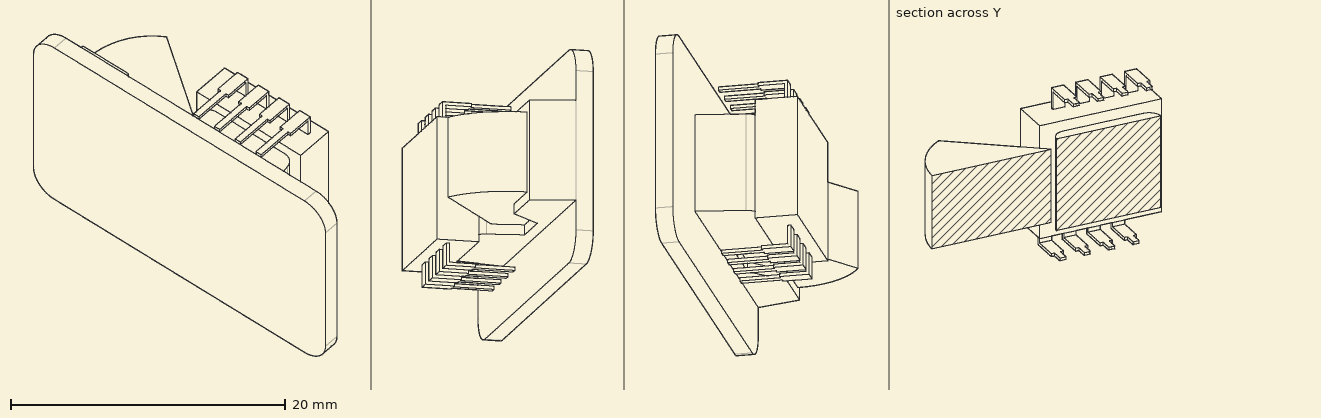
import cadquery as cq
import math


plate_length = 27.9
plate_height = 16.0
plate_thickness = 1.3
plate_corner_radius = 2.0

base_width = 7.5
base_left = -plate_length / 2
shoulder_top = 4.6
shoulder_left = -13.09
shoulder_right = -8.8
valley_floor = 2.23
valley_left = shoulder_right + (shoulder_top - valley_floor)

pedestal_left = -2.99
pedestal_right = 6.78
pedestal_middle = (pedestal_left + pedestal_right) / 2
pedestal_top = 5.8
pedestal_draft = math.radians(10)
pedestal_edge_radius = 1.0

prism_width = 6.0
prism_radius = 6.0
prism_back = -12.5
prism_peak = 9.8
slope_angle = math.radians(36)

package_length = 9.93
package_left = -3.26
package_height = 9.2
package_bottom = pedestal_top
package_top = 8.95
package_center = package_left + package_length / 2

leads_per_row = 4
lead_pitch = 1.98
first_lead = -0.73
lead_thickness = 0.25
lead_wide = 1.0
lead_narrow = 0.5
lead_span = 12.55
lead_top = 8.0
lead_tip = 2.75


def box(x_range, y_range, z_range):
    """Box between two limits on each axis."""
    sizes = [high - low for low, high in (x_range, y_range, z_range)]
    corner = (x_range[0], y_range[0], z_range[0])
    return cq.Workplane("XY").box(*sizes, centered=False).translate(corner)


def make_plate():
    """Cover plate with rounded corners."""
    half_length = plate_length / 2
    half_height = plate_height / 2
    plate = box((-half_length, half_length), (0, plate_thickness), (-half_height, half_height))
    return plate.edges("|Y").fillet(plate_corner_radius)


def make_shoulder():
    """Raised left part of the base, its ramp and the valley, running on into the pedestal."""
    outline = [
        (base_left, plate_thickness),
        (shoulder_left, shoulder_top),
        (shoulder_right, shoulder_top),
        (valley_left, valley_floor),
        (pedestal_middle, valley_floor),
        (pedestal_middle, plate_thickness),
    ]
    return cq.Workplane("XY").polyline(outline).close().extrude(base_width / 2, both=True)


def make_pedestal():
    """Tapered block with rounded top edges."""
    inset = (pedestal_top - plate_thickness) * math.tan(pedestal_draft)
    outline = [
        (pedestal_left, plate_thickness),
        (pedestal_left + inset, pedestal_top),
        (pedestal_right - inset, pedestal_top),
        (pedestal_right, plate_thickness),
    ]
    pedestal = cq.Workplane("XY").polyline(outline).close().extrude(base_width / 2, both=True)
    return pedestal.faces(">Y").edges("|Z").fillet(pedestal_edge_radius)


def make_prism():
    """Prism with a round back that leaves the shoulder upright and rises to a sharp peak."""
    arc_center = prism_back + prism_radius
    peak_angle = math.asin((prism_peak - shoulder_top) / prism_radius)
    peak_x = arc_center - prism_radius * math.cos(peak_angle)
    arc_middle = (
        arc_center - prism_radius * math.cos(peak_angle / 2),
        shoulder_top + prism_radius * math.sin(peak_angle / 2),
    )
    slope_end = peak_x + (prism_peak - shoulder_top) / math.tan(slope_angle)
    return (
        cq.Workplane("XY")
        .moveTo(prism_back, plate_thickness)
        .lineTo(prism_back, shoulder_top)
        .threePointArc(arc_middle, (peak_x, prism_peak))
        .lineTo(slope_end, shoulder_top)
        .lineTo(slope_end, plate_thickness)
        .close()
        .extrude(prism_width / 2, both=True)
    )


def make_lead(x):
    """Bent lead of the +Z row: a wide root and knee, then a narrow tail."""
    outer = lead_span / 2
    inner = outer - lead_thickness
    wide = (x - lead_wide / 2, x + lead_wide / 2)
    narrow = (x - lead_narrow / 2, x + lead_narrow / 2)
    root = box(wide, (lead_top - lead_thickness, lead_top), (package_height / 2, outer))
    knee = box(wide, (package_bottom, lead_top), (inner, outer))
    tail = box(narrow, (lead_tip, package_bottom), (inner, outer))
    return root.union(knee).union(tail)


def make_sensor():
    """Package with two staggered rows of leads, each the other turned half round."""
    sensor = box(
        (package_left, package_left + package_length),
        (package_bottom, package_top),
        (-package_height / 2, package_height / 2),
    )
    turn_axis = ((package_center, 0, 0), (package_center, 1, 0))
    for index in range(leads_per_row):
        lead = make_lead(first_lead + index * lead_pitch)
        sensor = sensor.union(lead).union(lead.rotate(*turn_axis, 180))
    return sensor


lens = make_plate().union(make_shoulder()).union(make_pedestal()).union(make_prism())
sensor = make_sensor()

result = cq.Compound.makeCompound([lens.solids().val(), sensor.solids().val()])